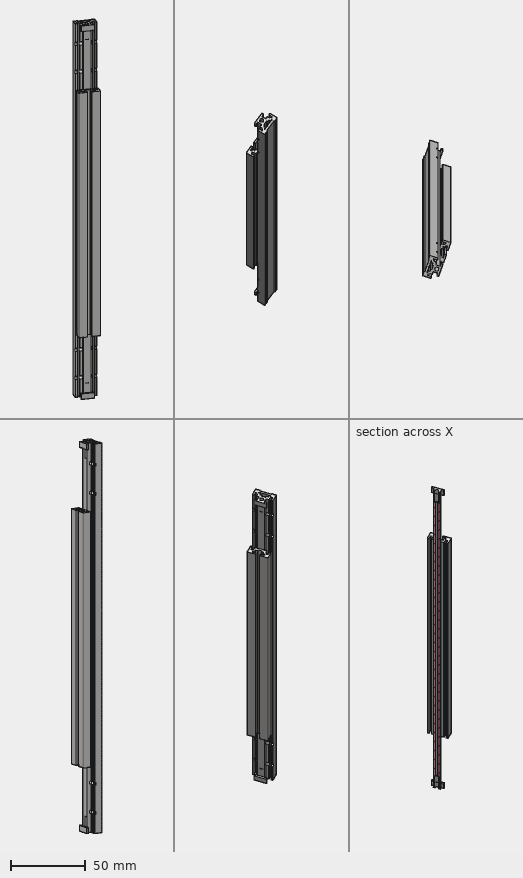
import cadquery as cq

LENGTH = 267.0
WIDTH = 15.0
HALF = WIDTH / 2

SLOT_HALF = 1.5
ENTRY_CHAMFER = 0.3
LIP = 1.3
LIP_INSIDE = HALF - LIP

T_OUTER_HALF = 4.3
T_TAPER_START = 5.3
T_INNER_HALF = 3.2
T_SHOULDER = 4.5
T_FLOOR = 2.62

CAVITY_HALF = 4.3
CAVITY_TAPER_START = 5.0
CAVITY_TAPER_END = 4.8
POCKET_HALF = 3.0
POCKET_FLOOR = 3.7
INNER_SLOT_FLOOR = 3.0
CLOSED_WALL_INSIDE = 5.3

RECESS_HALF = 4.3
RECESS_DEPTH = 0.5
RECESS_ROUND = 0.3
LINE_GROOVE_CENTRE = 6.1
LINE_GROOVE_TOP_HALF = 0.6
LINE_GROOVE_FLOOR_HALF = 0.32
LINE_GROOVE_DEPTH = 0.13

CORNER_RADIUS = 0.21

BORE_DIAMETER = 1.3
COUNTERBORE_DIAMETER = 2.7
COUNTERBORE_DEPTH = 10.7

CUT_X = SLOT_HALF
TAB_X = INNER_SLOT_FLOOR
TAB_LENGTH = 4.0
MIDDLE_LENGTH = 175.0

HOLE_DIAMETER = 2.1
HOLE_X = -1.5
HOLE_END_DISTANCES = (14.2, 34.2)


def mirrored_prism(half_outline):
    """Full-length prism whose outline is the given points plus their mirror image in the X axis."""
    lower_half = [(x, -y) for x, y in reversed(half_outline)]
    return (
        cq.Workplane("XY", origin=(0, 0, -LENGTH / 2))
        .polyline(half_outline + lower_half)
        .close()
        .extrude(LENGTH)
    )


def nut_cavity(wall_inside):
    """Stepped cavity that narrows towards the core, drawn on the +X side."""
    return mirrored_prism(
        [
            (wall_inside, CAVITY_HALF),
            (CAVITY_TAPER_START, CAVITY_HALF),
            (CAVITY_TAPER_END, POCKET_HALF),
            (POCKET_FLOOR, POCKET_HALF),
            (POCKET_FLOOR, SLOT_HALF),
            (INNER_SLOT_FLOOR, SLOT_HALF),
        ]
    )


def t_slot():
    """T-slot with a tapered undercut and bevelled edges, drawn on the +X side."""
    bevelled_half = SLOT_HALF + ENTRY_CHAMFER
    return mirrored_prism(
        [
            (HALF, bevelled_half),
            (HALF - ENTRY_CHAMFER, SLOT_HALF),
            (LIP_INSIDE, SLOT_HALF),
            (LIP_INSIDE, T_OUTER_HALF),
            (T_TAPER_START, T_OUTER_HALF),
            (T_SHOULDER, T_INNER_HALF),
            (T_SHOULDER, bevelled_half),
            (T_SHOULDER - ENTRY_CHAMFER, SLOT_HALF),
            (T_FLOOR, SLOT_HALF),
        ]
    )


def side_opening():
    """Plain opening through the +X lips."""
    return mirrored_prism([(HALF, SLOT_HALF), (LIP_INSIDE, SLOT_HALF)])


def closed_side_recess():
    """Wide, shallow channel with rounded edges along the middle of the -X side."""
    floor_x = RECESS_DEPTH - HALF
    round_end = (RECESS_ROUND - HALF, RECESS_HALF)
    round_start = (-HALF, RECESS_HALF + RECESS_ROUND)
    channel = cq.Workplane("XY", origin=(0, 0, -LENGTH / 2)).moveTo(*round_start)
    channel = channel.radiusArc(round_end, -RECESS_ROUND)
    channel = channel.lineTo(floor_x, RECESS_HALF).lineTo(floor_x, -RECESS_HALF)
    channel = channel.lineTo(round_end[0], -round_end[1])
    channel = channel.radiusArc((round_start[0], -round_start[1]), -RECESS_ROUND)
    return channel.close().extrude(LENGTH)


def line_groove(y):
    """Narrow, shallow groove with sloping sides along the -X side."""
    profile = [
        (-HALF, LINE_GROOVE_TOP_HALF),
        (LINE_GROOVE_DEPTH - HALF, LINE_GROOVE_FLOOR_HALF),
    ]
    return mirrored_prism(profile).translate((0, y, 0))


def stepped_bore():
    """Through bore with a counterbore at each end."""
    bore = cq.Workplane("XY").circle(BORE_DIAMETER / 2).extrude(LENGTH / 2, both=True)
    for face_z, depth in ((LENGTH / 2, -COUNTERBORE_DEPTH), (-LENGTH / 2, COUNTERBORE_DEPTH)):
        counterbore = (
            cq.Workplane("XY", origin=(0, 0, face_z))
            .circle(COUNTERBORE_DIAMETER / 2)
            .extrude(depth)
        )
        bore = bore.union(counterbore)
    return bore


def cut_back(direction):
    """Material removed from the +X side between the middle section and one end, sparing the core tab."""
    cut_length = (LENGTH - MIDDLE_LENGTH) / 2
    cut_centre_z = direction * (LENGTH - cut_length) / 2
    tab_centre_z = direction * (LENGTH - TAB_LENGTH) / 2
    cut_width = HALF - CUT_X
    tab_width = TAB_X - CUT_X
    cut = (
        cq.Workplane("XY")
        .box(cut_width, WIDTH, cut_length)
        .translate((CUT_X + cut_width / 2, 0, cut_centre_z))
    )
    tab = (
        cq.Workplane("XY")
        .box(tab_width, 2 * T_SHOULDER, TAB_LENGTH)
        .translate((CUT_X + tab_width / 2, 0, tab_centre_z))
    )
    return cut.cut(tab)


def cross_holes():
    """Holes along Y, the same at both ends."""
    centres = [
        (HOLE_X, direction * (LENGTH / 2 - distance))
        for direction in (-1, 1)
        for distance in HOLE_END_DISTANCES
    ]
    return (
        cq.Workplane("XZ", origin=(0, HALF, 0))
        .pushPoints(centres)
        .circle(HOLE_DIAMETER / 2)
        .extrude(WIDTH)
    )


body = cq.Workplane("XY").box(WIDTH, WIDTH, LENGTH).edges("|Z").fillet(CORNER_RADIUS)
for slot_angle in (90, -90):
    body = body.cut(t_slot().rotate((0, 0, 0), (0, 0, 1), slot_angle))
body = body.cut(nut_cavity(LIP_INSIDE))
body = body.cut(side_opening())
body = body.cut(nut_cavity(CLOSED_WALL_INSIDE).rotate((0, 0, 0), (0, 0, 1), 180))
body = body.cut(closed_side_recess())
for side in (-1, 1):
    body = body.cut(line_groove(side * LINE_GROOVE_CENTRE))
body = body.cut(stepped_bore())

for end in (-1, 1):
    body = body.cut(cut_back(end))
body = body.cut(cross_holes())

result = body